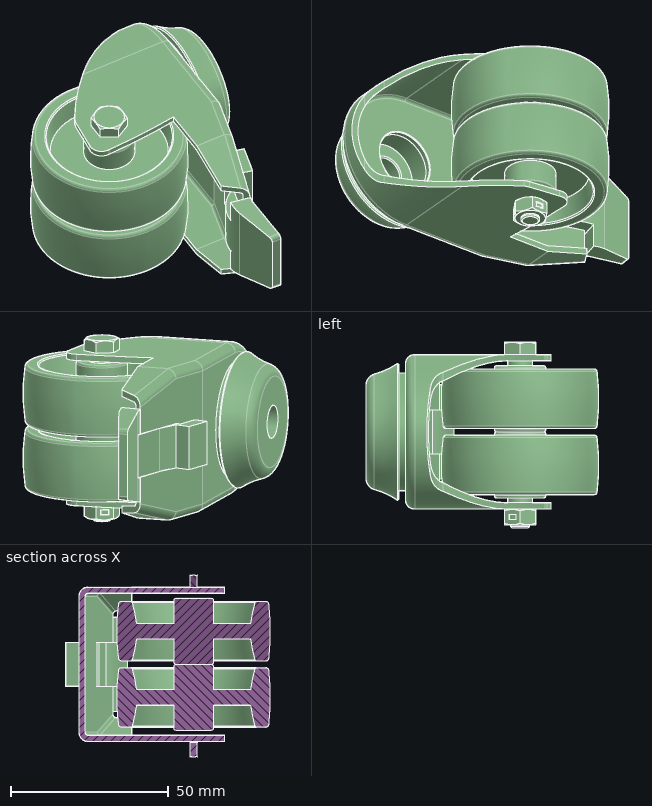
import cadquery as cq
import math


axle_x = 24.0
axle_y = -36.4
shank_radius = 4.0
wheel_radius = 25.0
wheel_width = 18.9
tread_crown = 0.7
tread_edge_fillet = 1.0
rim_radius = 20.0
rim_chamfer = 0.4
web_radius = 18.7
web_thickness = 5.0
hub_radius = 8.1
hub_length = 21.0
hub_fillet = 0.6

sheet = 2.0
fork_radius = 24.5
bend_outer_radius = 3.0
roof_bend_x = 31.2
roof_angle = math.radians(14.7)
taper_start_x = 45.6
taper_angle = math.radians(16.7)
fork_depth = 53.5
fork_reach = 74.9
fork_clearance = 1.1

collar_edge = (-fork_radius - fork_clearance, -6.5)
collar_end = (-20.3, -7.9)
collar_bend = (-17.3, -9.5)
sweep_start = (-15.6, -12.0)
sweep_middle = (-1.5, -30.8)
sweep_end = (15.6, -44.3)
leg_bottom_start = (17.3, -44.8)
leg_bottom_end = (28.2, -46.1)
leg_corner = (31.9, -45.2)
leg_back_start = (33.2, -41.7)
leg_back_middle = (32.3, -29.4)
leg_back_end = (30.7, -16.8)
arm_bottom_end = (61.0, leg_back_end[1])
arm_top_end = (71.6, fork_clearance)

swivel_bore_radius = 9.8
swivel_bore_chamfer = 0.2
head_height = 12.5
head_crown_radius = 14.5
head_shoulder_radius = 18.3
head_shoulder_drop = 2.6
head_lip_radius = 21.7
head_lip_drop = 10.1
head_lip_thickness = 0.4
head_neck_radius = 18.7
head_flank_middle = (19.5, 6.5)
head_crown_middle = (16.8, 11.9)
head_bore_floor = 7.3
head_hole_radius = 5.2
head_hole_chamfer = 0.4

lever_neck_width = 13.9
tab_start = 6.6
tab_end = 16.8
tab_top = 6.1
tab_bottom = 1.5
stem_start = 14.9
ramp_height = 1.2
ramp_end = 24.6
neck_underside = -2.7
neck_flat_end = 23.5
lever_low_x = 65.3
lever_low_y = -15.5
handle_start_width = 31.7
handle_start_x = 64.6
handle_shoulder = (65.9, -8.9)
handle_top = (67.4, -9.1)
handle_angle = math.radians(17)
handle_draft = 3
handle_tip_x = 82.5
handle_tip_y = -7.4
handle_tip_thickness = 3.0
handle_tip_width = 22.7
handle_corner_radius = 1.6

across_flats = 10.0
hex_face_radius = 4.8
hex_cone_angle = math.radians(30)
bolt_head_height = 4.0
nut_height = 5.0
thread_radius = 3.0
thread_chamfer = 0.4
bolt_length = 59.0
nut_mark_width = 2.6
nut_mark_height = 1.6
nut_mark_depth = 0.4


def roof_point(along, above):
    """XY position of a point given along and above the sloping part of the roof."""
    x = roof_bend_x + along * math.cos(roof_angle) + above * math.sin(roof_angle)
    y = -along * math.sin(roof_angle) + above * math.cos(roof_angle)
    return x, y


def along_z(profile, width):
    """Extrude an XY profile to both sides of the plane Z = 0."""
    return profile.extrude(width / 2, both=True)


def fork_block(inset, edge_radius):
    """Solid inside the fork's outer faces moved inward by inset, its roof edges rounded."""
    half_width = fork_radius - inset
    taper_x = taper_start_x - inset * math.tan(taper_angle / 2)
    end_half_width = half_width - (fork_reach - taper_x) * math.tan(taper_angle)
    plan = (
        cq.Workplane("XZ")
        .moveTo(0, half_width)
        .lineTo(taper_x, half_width)
        .lineTo(fork_reach, end_half_width)
        .lineTo(fork_reach, -end_half_width)
        .lineTo(taper_x, -half_width)
        .lineTo(0, -half_width)
        .threePointArc((-half_width, 0), (0, half_width))
        .close()
        .extrude(fork_depth)
    )
    bend_x = roof_bend_x - inset * math.tan(roof_angle / 2)
    end_drop = inset + (fork_reach - bend_x) * math.tan(roof_angle)
    below_roof = along_z(
        cq.Workplane("XY").polyline([
            (-fork_reach, -inset),
            (bend_x, -inset),
            (fork_reach, -end_drop),
            (fork_reach, -fork_depth),
            (-fork_reach, -fork_depth),
        ]).close(),
        2 * fork_reach,
    )
    block = plan.intersect(below_roof)
    slope_normal = cq.Vector(math.sin(roof_angle), math.cos(roof_angle), 0)
    level_edges = block.faces(">Y").edges("not(|Z)")
    slope_edges = block.faces(cq.selectors.DirectionMinMaxSelector(slope_normal)).edges("not(|Z)")
    return block.newObject(level_edges.vals() + slope_edges.vals()).fillet(edge_radius)


def make_fork():
    shell = fork_block(0, bend_outer_radius).cut(fork_block(sheet, bend_outer_radius - sheet))
    silhouette = along_z(
        cq.Workplane("XY")
        .moveTo(collar_edge[0], fork_clearance)
        .lineTo(*collar_edge)
        .lineTo(*collar_end)
        .threePointArc(collar_bend, sweep_start)
        .threePointArc(sweep_middle, sweep_end)
        .lineTo(*leg_bottom_start)
        .lineTo(*leg_bottom_end)
        .threePointArc(leg_corner, leg_back_start)
        .threePointArc(leg_back_middle, leg_back_end)
        .lineTo(*arm_bottom_end)
        .lineTo(*arm_top_end)
        .close(),
        3 * fork_radius,
    )
    slot = along_z(
        cq.Workplane("XY").polyline([
            roof_point(stem_start, 2 * sheet),
            roof_point(fork_reach, 2 * sheet),
            roof_point(fork_reach, -2 * sheet),
            roof_point(stem_start, -2 * sheet),
        ]).close(),
        lever_neck_width,
    )
    swivel_bore = (
        cq.Workplane("XY")
        .polyline([
            (0, 0),
            (swivel_bore_radius, 0),
            (swivel_bore_radius, swivel_bore_chamfer - sheet),
            (swivel_bore_radius + swivel_bore_chamfer, -sheet),
            (0, -sheet),
        ])
        .close()
        .revolve(360, (0, 0, 0), (0, 1, 0))
    )
    axle_holes = along_z(cq.Workplane("XY").center(axle_x, axle_y).circle(shank_radius), 3 * fork_radius)
    return shell.intersect(silhouette).cut(slot).cut(swivel_bore).cut(axle_holes)


def make_head():
    lip_y = head_height - head_lip_drop
    under_y = lip_y - head_lip_thickness
    return (
        cq.Workplane("XY")
        .moveTo(swivel_bore_radius, 0)
        .lineTo(head_neck_radius, 0)
        .lineTo(head_neck_radius, under_y)
        .lineTo(head_lip_radius - head_lip_thickness, under_y)
        .lineTo(head_lip_radius, lip_y)
        .threePointArc(head_flank_middle, (head_shoulder_radius, head_height - head_shoulder_drop))
        .threePointArc(head_crown_middle, (head_crown_radius, head_height))
        .lineTo(head_hole_radius, head_height)
        .lineTo(head_hole_radius, head_bore_floor + head_hole_chamfer)
        .lineTo(head_hole_radius + head_hole_chamfer, head_bore_floor)
        .lineTo(swivel_bore_radius, head_bore_floor)
        .close()
        .revolve(360, (0, 0, 0), (0, 1, 0))
    )


def make_lever():
    flat_end = roof_point(neck_flat_end, neck_underside)
    run = lever_low_x - flat_end[0]
    rise = flat_end[1] - lever_low_y
    arc_radius = (run ** 2 + rise ** 2) / (2 * rise)

    def underside_point(x):
        center_height = math.sqrt(arc_radius ** 2 - (x - lever_low_x) ** 2)
        return x, lever_low_y + arc_radius - center_height

    arc_end = underside_point(lever_low_x + arc_radius * math.sin(handle_angle))
    handle_heel = underside_point(handle_start_x)
    neck = along_z(
        cq.Workplane("XY").polyline([
            handle_heel,
            handle_top,
            roof_point(ramp_end, 0),
            roof_point(tab_end, ramp_height),
            roof_point(tab_end, tab_top),
            roof_point(tab_start, tab_top),
            roof_point(tab_start, tab_bottom),
            roof_point(stem_start, tab_bottom),
            roof_point(stem_start, neck_underside),
            flat_end,
        ])
        .threePointArc(underside_point((flat_end[0] + handle_start_x) / 2), handle_heel)
        .close(),
        lever_neck_width,
    )
    handle_side = along_z(
        cq.Workplane("XY").polyline([
            handle_heel,
            handle_shoulder,
            handle_top,
            (handle_tip_x, handle_tip_y),
            (handle_tip_x, handle_tip_y - handle_tip_thickness),
            arc_end,
        ])
        .threePointArc((lever_low_x, lever_low_y), handle_heel)
        .close(),
        handle_start_width,
    )
    handle_outline = (
        cq.Sketch()
        .polygon([
            (handle_start_x - sheet, handle_start_width / 2),
            (handle_tip_x, handle_tip_width / 2),
            (handle_tip_x, -handle_tip_width / 2),
            (handle_start_x - sheet, -handle_start_width / 2),
            (handle_start_x - sheet, handle_start_width / 2),
        ])
        .vertices(">X").fillet(handle_corner_radius)
    )
    handle_plan = (
        cq.Workplane("XZ", origin=(0, handle_tip_y, 0))
        .placeSketch(handle_outline)
        .extrude(-lever_low_y, taper=handle_draft)
    )
    return neck.union(handle_side.intersect(handle_plan)).clean()


def make_wheel(center_z):
    half_width = wheel_width / 2
    edge_radius = wheel_radius - tread_crown
    barrel = (
        cq.Workplane("XZ")
        .moveTo(0, -half_width)
        .lineTo(edge_radius, -half_width)
        .threePointArc((wheel_radius, 0), (edge_radius, half_width))
        .lineTo(0, half_width)
        .close()
        .revolve(360, (0, 0, 0), (0, 1, 0))
        .faces("<Z or >Z").edges().fillet(tread_edge_fillet)
    )
    recess = (
        cq.Workplane("XZ")
        .polyline([
            (0, web_thickness / 2),
            (web_radius, web_thickness / 2),
            (rim_radius, half_width - rim_chamfer),
            (rim_radius + rim_chamfer, half_width),
            (0, half_width),
        ])
        .close()
        .revolve(360, (0, 0, 0), (0, 1, 0))
    )
    hub = (
        cq.Workplane("XY").circle(hub_radius).extrude(hub_length / 2, both=True)
        .faces("<Z or >Z").edges().fillet(hub_fillet)
    )
    axle_bore = cq.Workplane("XY").circle(shank_radius).extrude(hub_length, both=True)
    wheel = barrel.cut(recess).cut(recess.mirror("XY")).union(hub).cut(axle_bore)
    return wheel.translate((axle_x, axle_y, center_z))


def hexagon(height):
    """Hexagonal prism from Z = 0 up, its corners along X and its upper corners coned off."""
    corner_diameter = across_flats / math.cos(math.pi / 6)
    drop = (corner_diameter - hex_face_radius) * math.tan(hex_cone_angle)
    cone = (
        cq.Workplane("XZ")
        .polyline([
            (0, -height),
            (corner_diameter, -height),
            (corner_diameter, height - drop),
            (hex_face_radius, height),
            (0, height),
        ])
        .close()
        .revolve(360, (0, 0, 0), (0, 1, 0))
    )
    return cq.Workplane("XY").polygon(6, corner_diameter).extrude(height).intersect(cone)


def make_bolt():
    threaded_end = fork_radius + bolt_head_height - bolt_length
    head = hexagon(bolt_head_height).translate((0, 0, fork_radius))
    shank = cq.Workplane("XY").circle(shank_radius).extrude(fork_radius, both=True)
    thread = (
        cq.Workplane("XY", origin=(0, 0, threaded_end))
        .circle(thread_radius)
        .extrude(-threaded_end)
        .faces("<Z").chamfer(thread_chamfer)
    )
    return head.union(shank).union(thread).translate((axle_x, axle_y, 0))


def make_nut():
    coned_both_ends = hexagon(nut_height).intersect(
        hexagon(nut_height).mirror("XY").translate((0, 0, nut_height)))
    nut = coned_both_ends.cut(cq.Workplane("XY").circle(thread_radius).extrude(nut_height))
    for angle in (30, 150, 270):
        mark = (
            cq.Workplane("XY")
            .box(2 * nut_mark_depth, nut_mark_width, nut_mark_height)
            .translate((across_flats / 2, 0, nut_height / 2))
            .rotate((0, 0, 0), (0, 0, 1), angle)
        )
        nut = nut.cut(mark)
    return nut.translate((axle_x, axle_y, -fork_radius - nut_height))


fork = make_fork()
head = make_head()
lever = make_lever()
wheels = [make_wheel(side * hub_length / 2) for side in (-1, 1)]
bolt = make_bolt()
nut = make_nut()

result = cq.Compound.makeCompound([
    fork.val(),
    head.val(),
    lever.val(),
    *[wheel.val() for wheel in wheels],
    bolt.val(),
    nut.val(),
])